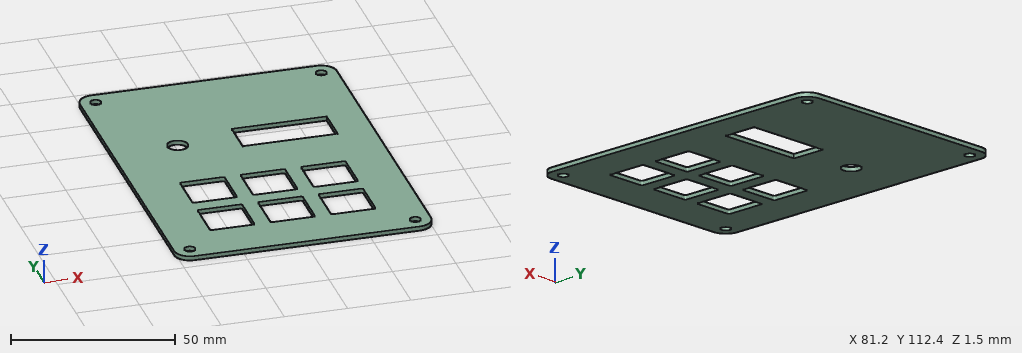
import cadquery as cq

plate_width = 81.2
plate_length = 112.4
plate_thickness = 1.5
corner_radius = 5.0

mount_hole_diameter = 3.4
mount_spacing_x = plate_width - 2 * corner_radius
mount_spacing_y = plate_length - 2 * corner_radius

key_columns = 3
key_rows = 2
key_size = 14.0
key_pitch = 19.1
key_corner_radius = 0.6
key_grid_y = -24.3

display_width = 30.0
display_height = 12.0
display_x = 14.0
control_row_y = 16.6
round_hole_diameter = 6.4
round_hole_x = -19.8


def make_plate():
    """Flat plate with rounded vertical corners."""
    blank = cq.Workplane("XY").box(plate_width, plate_length, plate_thickness)
    return blank.edges("|Z").fillet(corner_radius)


def make_mount_holes():
    """Four through holes, one near each corner."""
    return (
        cq.Workplane("XY")
        .rect(mount_spacing_x, mount_spacing_y, forConstruction=True)
        .vertices()
        .circle(mount_hole_diameter / 2)
        .extrude(plate_thickness, both=True)
    )


def make_key_openings():
    """Grid of square openings with slightly rounded corners."""
    return (
        cq.Workplane("XY")
        .center(0, key_grid_y)
        .rarray(key_pitch, key_pitch, key_columns, key_rows)
        .rect(key_size, key_size)
        .extrude(plate_thickness, both=True)
        .edges("|Z")
        .fillet(key_corner_radius)
    )


def make_display_window():
    """Sharp-cornered rectangular opening."""
    return (
        cq.Workplane("XY")
        .center(display_x, control_row_y)
        .rect(display_width, display_height)
        .extrude(plate_thickness, both=True)
    )


def make_round_hole():
    """Single round through hole beside the display window."""
    return (
        cq.Workplane("XY")
        .center(round_hole_x, control_row_y)
        .circle(round_hole_diameter / 2)
        .extrude(plate_thickness, both=True)
    )


result = (
    make_plate()
    .cut(make_mount_holes())
    .cut(make_key_openings())
    .cut(make_display_window())
    .cut(make_round_hole())
)